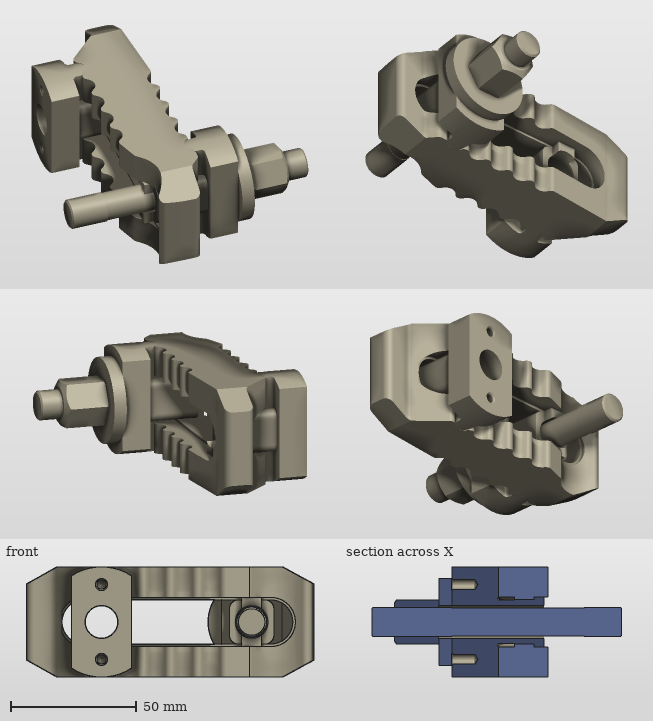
import cadquery as cq
import math


CLAMP_LENGTH = 115.0
CLAMP_WIDTH = 44.0

STUD_X = 90.0
LOWER_SADDLE_X = 30.0

GROOVE_COUNT = 5
UPPER_ROW_START_X = 46.0
GROOVE_PITCH = (STUD_X - UPPER_ROW_START_X) / (GROOVE_COUNT - 1)
GROOVE_RADIUS = 4.0
GROOVE_FLOOR_Y = 10.4
PEAK_RADIUS = 2.2
PEAK_Y = 13.5

SLOT_WIDTH = 19.7
RAIL_GAP = 17.6
RAIL_HALF_DEPTH = 4.0

NOSE_TOP_Y = 11.0
NOSE_BOTTOM_Y = -1.0
NOSE_LENGTH = 12.1
CORNER_RADIUS = 3.0
HEEL_RAMP_X = 11.2

TAIL_TOP_Y = 9.1
TAIL_SLOPE_TOP_X = 98.3
TAIL_SLOPE_FOOT_X = 102.7
TIP_CENTER = (111.9, -5.6)
TIP_RADIUS = 2.3
HOLLOW_CENTER = (101.2, -18.0)
HOLLOW_RADIUS = 14.0
SHALLOW_SLOPE_END = (89.1, -10.4)
HOLLOW_ARC_X = 90.0

END_HALF_WIDTH = 15.2
NOSE_BEVEL_LENGTH = 12.2
TAIL_BEVEL_LENGTH = 12.5
SLOT_START_X = 13.2
SLOT_END_X = 107.5

SADDLE_LENGTH = 24.2
SADDLE_NEAR_Y = 17.2
SADDLE_FAR_Y = 29.0
TOOTH_WIDTH = 2 * GROOVE_RADIUS
TOOTH_ROOT_RADIUS = 1.5
BOSS_LENGTH = 17.7
BOSS_CORNER_RADIUS = 3.5
HOOK_LENGTH = 3.9
BORE_DIAMETER = 13.0

SCREW_HOLE_DIAMETER = 3.7
SCREW_HOLE_MOUTH_DIAMETER = 4.8
SCREW_HOLE_DEPTH = 9.2
SCREW_HOLE_Z = 15.0
DRILL_POINT_ANGLE = 118.0

STUD_DIAMETER = 12.0
SHANK_DIAMETER = 11.3
STUD_BOTTOM_Y = -39.0
STUD_TOP_Y = 61.1
LOWER_THREAD_LENGTH = 15.1
STUD_CHAMFER = 0.7

WASHER_DIAMETER = 35.0
WASHER_THICKNESS = 5.2

NUT_FLATS = 17.9
NUT_HEIGHT = 17.9
NUT_TOP_DIAMETER = 15.1
NUT_BOTTOM_DIAMETER = 19.7
NUT_TOP_CHAMFER_ANGLE = 35.0
NUT_BOTTOM_CHAMFER_ANGLE = 30.0

WASHER_TOP_Y = SADDLE_FAR_Y + WASHER_THICKNESS
NUT_TOP_Y = WASHER_TOP_Y + NUT_HEIGHT


def on_circle(center, radius, degrees):
    angle = math.radians(degrees)
    return (center[0] + radius * math.cos(angle), center[1] + radius * math.sin(angle))


def tangent_angle(center_1, radius_1, center_2, radius_2, turn):
    """Direction, in degrees, of the normal of a line touching two circles on opposite sides.

    The line touches circle 1 in this direction and circle 2 in the reverse direction.
    `turn` picks one of the two lines.
    """
    dx = center_2[0] - center_1[0]
    dy = center_2[1] - center_1[1]
    spread = math.acos((radius_1 + radius_2) / math.hypot(dx, dy))
    return math.degrees(math.atan2(dy, dx) + turn * spread)


def tangent_point(point, center, radius, turn):
    """Where a line from a point touches a circle; `turn` picks one of the two lines."""
    normal = tangent_angle(center, radius, point, 0, turn)
    return on_circle(center, radius, normal)


def cylinder_y(x, diameter, y_start, y_end):
    """Cylinder along Y on the axis at x."""
    base = cq.Workplane("XZ", origin=(x, y_start, 0))
    return base.circle(diameter / 2).extrude(y_start - y_end)


def add_groove_row(path, first_groove_x, heading, side):
    """Continue an outline from a point on a peak through a row of round grooves.

    It stops at the foot of the arc over the last peak.
    heading is +1 or -1 along X; side is +1 for the upper face and -1 for the lower one.
    """
    half_pitch = GROOVE_PITCH / 2
    peak = (0, PEAK_Y - PEAK_RADIUS)
    groove = (half_pitch, GROOVE_FLOOR_Y + GROOVE_RADIUS)
    slope = tangent_angle(peak, PEAK_RADIUS, groove, GROOVE_RADIUS, 1)
    peak_end_x, peak_end_y = on_circle(peak, PEAK_RADIUS, slope)
    peak_mid_x, peak_mid_y = on_circle(peak, PEAK_RADIUS, (slope + 90) / 2)
    groove_end_x, groove_end_y = on_circle(groove, GROOVE_RADIUS, slope + 180)

    def place(x, offset, y):
        return (x + heading * offset, side * y)

    peak_x = first_groove_x - heading * half_pitch
    path = path.threePointArc(place(peak_x, peak_mid_x, peak_mid_y), place(peak_x, peak_end_x, peak_end_y))
    for index in range(GROOVE_COUNT):
        groove_x = peak_x + heading * half_pitch
        next_peak_x = groove_x + heading * half_pitch
        path = path.lineTo(*place(peak_x, groove_end_x, groove_end_y))
        path = path.threePointArc(
            place(groove_x, 0, GROOVE_FLOOR_Y), place(next_peak_x, -groove_end_x, groove_end_y)
        )
        path = path.lineTo(*place(next_peak_x, -peak_end_x, peak_end_y))
        if index < GROOVE_COUNT - 1:
            path = path.threePointArc(
                place(next_peak_x, 0, PEAK_Y), place(next_peak_x, peak_end_x, peak_end_y)
            )
        peak_x = next_peak_x
    return path


def add_tail_end(path):
    """Continue the outline around the tail: upper corner, end face, toe and arch.

    The end face is a large arc, upright at the upper corner and tangent to the toe.
    """
    corner = (CLAMP_LENGTH - CORNER_RADIUS, TAIL_TOP_Y - CORNER_RADIUS)
    drop = corner[1] - TIP_CENTER[1]
    setback = CLAMP_LENGTH - TIP_CENTER[0]
    end_radius = (drop**2 + setback**2 - TIP_RADIUS**2) / (2 * (setback - TIP_RADIUS))
    end_center = (CLAMP_LENGTH - end_radius, corner[1])
    end_angle = -math.degrees(math.atan2(drop, TIP_CENTER[0] - end_center[0]))
    arch_side = tangent_angle(TIP_CENTER, TIP_RADIUS, HOLLOW_CENTER, HOLLOW_RADIUS, 1)
    arch_rise = math.sqrt(HOLLOW_RADIUS**2 - (HOLLOW_ARC_X - HOLLOW_CENTER[0]) ** 2)
    return (
        path.lineTo(corner[0], TAIL_TOP_Y)
        .threePointArc(on_circle(corner, CORNER_RADIUS, 45), (CLAMP_LENGTH, corner[1]))
        .threePointArc(
            on_circle(end_center, end_radius, end_angle / 2), on_circle(TIP_CENTER, TIP_RADIUS, end_angle)
        )
        .threePointArc(on_circle(TIP_CENTER, TIP_RADIUS, -60), on_circle(TIP_CENTER, TIP_RADIUS, arch_side))
        .lineTo(*on_circle(HOLLOW_CENTER, HOLLOW_RADIUS, arch_side + 180))
        .threePointArc(
            on_circle(HOLLOW_CENTER, HOLLOW_RADIUS, 90),
            (HOLLOW_ARC_X, HOLLOW_CENTER[1] + arch_rise),
        )
        .lineTo(*SHALLOW_SLOPE_END)
    )


def clamp_profile():
    """Closed outline in X and Y; the slopes before and after the tooth rows touch the end peaks."""
    half_pitch = GROOVE_PITCH / 2
    lower_row_end_x = LOWER_SADDLE_X + (GROOVE_COUNT - 1) * GROOVE_PITCH
    peak_center_y = PEAK_Y - PEAK_RADIUS
    first_upper_peak = (UPPER_ROW_START_X - half_pitch, peak_center_y)
    first_lower_peak = (LOWER_SADDLE_X - half_pitch, -peak_center_y)
    last_lower_peak = (lower_row_end_x + half_pitch, -peak_center_y)
    nose_shoulder = (NOSE_LENGTH, NOSE_TOP_Y)
    heel = (HEEL_RAMP_X, NOSE_BOTTOM_Y)

    path = (
        cq.Workplane("XY")
        .moveTo(0, NOSE_BOTTOM_Y)
        .lineTo(0, NOSE_TOP_Y)
        .lineTo(*nose_shoulder)
        .lineTo(*tangent_point(nose_shoulder, first_upper_peak, PEAK_RADIUS, -1))
    )
    path = add_groove_row(path, UPPER_ROW_START_X, 1, 1)
    path = path.tangentArcPoint((STUD_X + half_pitch, PEAK_Y), relative=False)
    path = path.lineTo(TAIL_SLOPE_TOP_X, PEAK_Y).lineTo(TAIL_SLOPE_FOOT_X, TAIL_TOP_Y)
    path = add_tail_end(path)
    path = path.lineTo(*tangent_point(SHALLOW_SLOPE_END, last_lower_peak, PEAK_RADIUS, -1))
    path = add_groove_row(path, lower_row_end_x, -1, -1)
    ramp_foot = tangent_point(heel, first_lower_peak, PEAK_RADIUS, 1)
    path = path.tangentArcPoint(ramp_foot, relative=False).lineTo(*heel)
    return path.close()


def slot_cutter(inset, half_depth):
    """Round-ended slot along X, narrowed all around by inset, through +/- half_depth in Y."""
    length = SLOT_END_X - SLOT_START_X - 2 * inset
    middle_x = (SLOT_START_X + SLOT_END_X) / 2
    plan = cq.Workplane("XZ").center(middle_x, 0).slot2D(length, SLOT_WIDTH - 2 * inset)
    return plan.extrude(half_depth, both=True)


def bevelled_plan():
    """Eight-sided plan of the clamp, wide in the middle and tapered to both ends."""
    half_width = CLAMP_WIDTH / 2
    upper_half = [
        (0, END_HALF_WIDTH),
        (NOSE_BEVEL_LENGTH, half_width),
        (CLAMP_LENGTH - TAIL_BEVEL_LENGTH, half_width),
        (CLAMP_LENGTH, END_HALF_WIDTH),
    ]
    lower_half = [(x, -z) for x, z in reversed(upper_half)]
    plan = cq.Workplane("XZ").polyline(upper_half + lower_half).close()
    return plan.extrude(CLAMP_WIDTH, both=True)


def make_clamp():
    body = clamp_profile().extrude(CLAMP_WIDTH / 2, both=True)
    rounded_corners = [
        (0, NOSE_TOP_Y),
        (0, NOSE_BOTTOM_Y),
        (HEEL_RAMP_X, NOSE_BOTTOM_Y),
        (TAIL_SLOPE_TOP_X, PEAK_Y),
        (TAIL_SLOPE_FOOT_X, TAIL_TOP_Y),
    ]
    for x, y in rounded_corners:
        edge = cq.selectors.NearestToPointSelector((x, y, 0))
        body = body.edges("|Z").edges(edge).fillet(CORNER_RADIUS)
    body = body.intersect(bevelled_plan())

    wide_slot = slot_cutter(0, CLAMP_WIDTH)
    rail_inset = (SLOT_WIDTH - RAIL_GAP) / 2
    rails = slot_cutter(0, RAIL_HALF_DEPTH).cut(slot_cutter(rail_inset, CLAMP_WIDTH))
    return body.cut(wide_slot.cut(rails))


def saddle_plate():
    """Plate with flat sides, round ends and a round-nosed tooth that sits in a clamp groove."""
    half_length = SADDLE_LENGTH / 2
    half_tooth = TOOTH_WIDTH / 2
    root = TOOTH_ROOT_RADIUS
    root_x = half_tooth + root
    root_y = SADDLE_NEAR_Y - root
    tip_center_y = GROOVE_FLOOR_Y + GROOVE_RADIUS
    profile = (
        cq.Workplane("XY")
        .moveTo(-half_length, SADDLE_FAR_Y)
        .lineTo(-half_length, SADDLE_NEAR_Y)
        .lineTo(-root_x, SADDLE_NEAR_Y)
        .threePointArc(on_circle((-root_x, root_y), root, 45), (-half_tooth, root_y))
        .lineTo(-half_tooth, tip_center_y)
        .threePointArc((0, GROOVE_FLOOR_Y), (half_tooth, tip_center_y))
        .lineTo(half_tooth, root_y)
        .threePointArc(on_circle((root_x, root_y), root, 135), (root_x, SADDLE_NEAR_Y))
        .lineTo(half_length, SADDLE_NEAR_Y)
        .lineTo(half_length, SADDLE_FAR_Y)
        .close()
    )
    plate = profile.extrude(CLAMP_WIDTH / 2, both=True)
    return plate.intersect(cylinder_y(0, CLAMP_WIDTH, GROOVE_FLOOR_Y, SADDLE_FAR_Y))


def saddle_boss():
    """Square boss between the rails, with a wider hook below them."""
    boss_end_y = -RAIL_HALF_DEPTH
    boss = cq.Workplane("XZ", origin=(0, boss_end_y, 0)).rect(BOSS_LENGTH, RAIL_GAP)
    boss = boss.extrude(boss_end_y - SADDLE_NEAR_Y).edges("|Y").fillet(BOSS_CORNER_RADIUS)
    hook = cq.Workplane("XZ", origin=(0, boss_end_y, 0)).rect(TOOTH_WIDTH, SLOT_WIDTH).extrude(HOOK_LENGTH)
    return boss.union(hook)


def screw_hole(z):
    """Blind drilled hole with a conical bottom and a chamfered mouth in the far face of the plate."""
    radius = SCREW_HOLE_DIAMETER / 2
    mouth_radius = SCREW_HOLE_MOUTH_DIAMETER / 2
    bottom_y = SADDLE_FAR_Y - SCREW_HOLE_DEPTH
    point_height = radius / math.tan(math.radians(DRILL_POINT_ANGLE / 2))
    half_section = [
        (0, SADDLE_FAR_Y),
        (mouth_radius, SADDLE_FAR_Y),
        (radius, SADDLE_FAR_Y - (mouth_radius - radius)),
        (radius, bottom_y),
        (0, bottom_y - point_height),
    ]
    plane = cq.Workplane("XY", origin=(0, 0, z))
    return plane.polyline(half_section).close().revolve(360, (0, 0), (0, 1))


def make_saddle(x, side):
    """Saddle at x, above the clamp for side +1 and mirrored below it for side -1."""
    saddle = saddle_plate().union(saddle_boss())
    saddle = saddle.cut(cylinder_y(0, BORE_DIAMETER, -SADDLE_FAR_Y, SADDLE_FAR_Y))
    for z in (-SCREW_HOLE_Z, SCREW_HOLE_Z):
        saddle = saddle.cut(screw_hole(z))
    if side < 0:
        saddle = saddle.mirror("XZ")
    return saddle.translate((x, 0, 0))


def make_stud():
    """Stud with threaded ends and a thinner shank; the upper thread starts at the washer."""
    lower_thread_end_y = STUD_BOTTOM_Y + LOWER_THREAD_LENGTH
    lower_thread = cylinder_y(STUD_X, STUD_DIAMETER, STUD_BOTTOM_Y, lower_thread_end_y)
    upper_thread = cylinder_y(STUD_X, STUD_DIAMETER, SADDLE_FAR_Y, STUD_TOP_Y)
    shank = cylinder_y(STUD_X, SHANK_DIAMETER, lower_thread_end_y, SADDLE_FAR_Y)
    lower_thread = lower_thread.faces("<Y").chamfer(STUD_CHAMFER)
    upper_thread = upper_thread.faces(">Y").chamfer(STUD_CHAMFER)
    return shank.union(lower_thread).union(upper_thread)


def make_washer():
    disc = cylinder_y(STUD_X, WASHER_DIAMETER, SADDLE_FAR_Y, WASHER_TOP_Y)
    return disc.cut(cylinder_y(STUD_X, BORE_DIAMETER, SADDLE_FAR_Y, WASHER_TOP_Y))


def make_nut():
    """Hexagon nut with two corners on the X axis and a chamfer cone at each end."""
    corner_radius = NUT_FLATS / math.sqrt(3)
    top_radius = NUT_TOP_DIAMETER / 2
    bottom_radius = NUT_BOTTOM_DIAMETER / 2
    top_drop = (corner_radius - top_radius) * math.tan(math.radians(NUT_TOP_CHAMFER_ANGLE))
    bottom_rise = (corner_radius - bottom_radius) * math.tan(math.radians(NUT_BOTTOM_CHAMFER_ANGLE))
    half_section = [
        (0, WASHER_TOP_Y),
        (bottom_radius, WASHER_TOP_Y),
        (corner_radius, WASHER_TOP_Y + bottom_rise),
        (corner_radius, NUT_TOP_Y - top_drop),
        (top_radius, NUT_TOP_Y),
        (0, NUT_TOP_Y),
    ]
    turned_blank = (
        cq.Workplane("XY", origin=(STUD_X, 0, 0))
        .polyline(half_section)
        .close()
        .revolve(360, (0, 0), (0, 1))
    )
    hexagon = (
        cq.Workplane("XZ", origin=(STUD_X, WASHER_TOP_Y, 0))
        .polygon(6, 2 * corner_radius)
        .extrude(-NUT_HEIGHT)
    )
    thread = cylinder_y(STUD_X, STUD_DIAMETER, WASHER_TOP_Y, NUT_TOP_Y)
    return hexagon.intersect(turned_blank).cut(thread)


clamp = make_clamp()
saddles = [make_saddle(x, side) for x, side in ((LOWER_SADDLE_X, -1), (STUD_X, 1))]
stud = make_stud()
washer = make_washer()
nut = make_nut()

result = cq.Compound.makeCompound(
    [clamp.val(), *[saddle.val() for saddle in saddles], stud.val(), washer.val(), nut.val()]
)